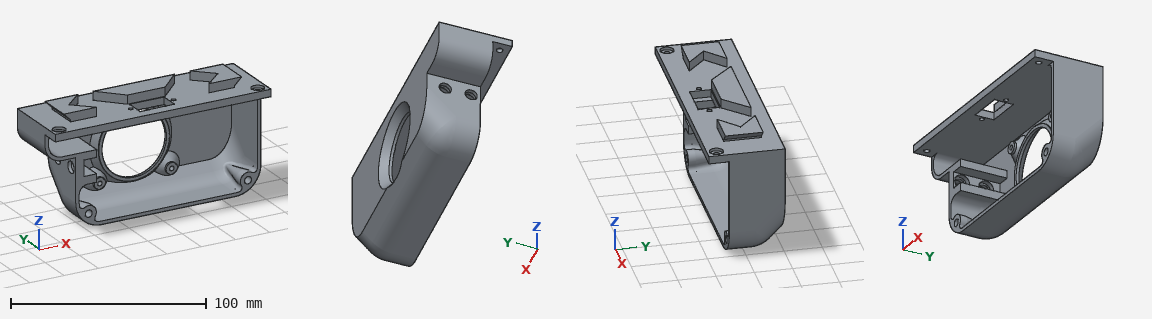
import cadquery as cq
import math


length = 126.0
depth = 29.2
wall = 2.0
top_z = 60.1
body_left = 17.9
corner_radius = 15.0
back_chamfer = 10.0
lobe_bottom = 40.0
lobe_radius = 10.0
ceiling_radius = 3.5

plate_thickness = 4.2
plate_overhang = 10.7
ceiling_z = top_z - plate_thickness
screw_inset = 5.0
screw_diameter = 3.2
screw_head_diameter = 7.0
screw_head_depth = 1.5

mount_x = length / 2
window_width = 20.2
window_front = -4.5
window_back = 6.5
pin_hole_diameter = 2.5
pin_hole_spacing = 25.1
pin_hole_y = 0.9

block_height = 5.0
block_back = 20.2
arrow_width = 19.8
arrow_half_span = 51.9
arrow_length = 19.2
arrow_undercut = 4.0
arrow_notch = 10.7
trapezoid_back_width = 47.5
trapezoid_front_width = 22.0
trapezoid_depth = 13.0

lens_x = 65.0
lens_z = 30.2
lens_diameter = 37.5
lens_ring_diameter = 41.5
lens_ring_base_diameter = 47.9
lens_rim_length = 0.6
lens_land = 1.6
boss_spacing_x = 42.0
boss_spacing_z = 35.0
boss_base_diameter = 15.0
boss_tip_diameter = 6.5
boss_tip_length = 1.3
boss_hole_diameter = 2.5

post_inset = 7.5
post_diameter = 9.0
post_straight = 4.0
post_taper = 11.0
post_fillet = 2.0
post_hole_diameter = 4.0
post_hole_depth = 12.6
post_xs = (body_left + post_inset, length - post_inset)

clip_right = 30.1
clip_bottom = 24.0
clip_fillet = 5.0
clip_slot_left = 22.8
clip_slot_bottom = 28.6
clip_slot_top = 37.7
side_hole_diameter = 6.5
side_recess_diameter = 8.6
side_hole_z = 32.9
side_hole_y = (5.0, 19.2)


def box(x0, x1, y0, y1, z0, z1):
    return cq.Workplane("XY").box(x1 - x0, y1 - y0, z1 - z0, centered=False).translate((x0, y0, z0))


def cone_from_back(x, z, base_y, base_radius, tip_radius):
    """45 degree cone with its base at base_y, narrowing towards the front."""
    height = base_radius - tip_radius
    profile = [(0, 0), (base_radius, 0), (tip_radius, height), (0, height)]
    cone = cq.Workplane("XY").polyline(profile).close().revolve(360, (0, 0), (0, 1))
    return cone.rotate((0, 0, 0), (0, 0, 1), 180).translate((x, base_y, z))


def rod(x, z, diameter, y0, y1):
    """Cylinder along Y between y0 and y1."""
    rod_plane = cq.Workplane("XZ", origin=(x, y0, z))
    return rod_plane.circle(diameter / 2).extrude(y0 - y1)


def tub(inset, top):
    """Main box with sloped lower back and rounded lower edges, offset inward by inset."""
    chamfer = back_chamfer - inset * (2 - math.sqrt(2))
    solid = box(body_left + inset, length - inset, 0, depth - inset, inset, top)
    solid = solid.edges(">Y and <Z").chamfer(chamfer)
    slope_center = (solid.val().Center().x, depth - inset - chamfer / 2, inset + chamfer / 2)
    slope = solid.faces(cq.selectors.NearestToPointSelector(slope_center))
    slope_sides = slope.edges("not |X").vals()
    slope_front = slope.edges("<Z").vals()
    floor_sides = solid.faces("<Z").edges("|Y").vals()
    return solid.newObject(slope_sides + slope_front + floor_sides).fillet(corner_radius - inset)


def lobe(inset, top):
    """Side lobe at the upper left, reaching over the clip, offset inward by inset."""
    solid = box(inset, clip_right, 0, depth - inset, lobe_bottom + inset, top)
    return solid.edges("|Y and <X and <Z").fillet(lobe_radius - inset)


def screw_post(x):
    """Corner post: straight at the front, tapering towards the sloped rear of the housing."""
    radius = post_diameter / 2
    apex_y = post_straight + radius / math.tan(math.radians(post_taper))
    profile = [(0, 0), (radius, 0), (radius, post_straight), (0, apex_y)]
    post = cq.Workplane("XY").polyline(profile).close().revolve(360, (0, 0), (0, 1))
    return post.translate((x, 0, post_inset))


def post_seams(room, x):
    """Straight and curved edges where a screw post runs into the rounded corner of the room."""
    reach = post_diameter / 2
    around_post = cq.selectors.BoxSelector(
        (x - reach, 0, post_inset - reach), (x + reach, depth, post_inset + reach))
    straight = room.edges("|Y").edges(around_post)
    curved = room.edges("%BSPLINE").edges(around_post)
    return straight.vals() + curved.vals()


def lower_room():
    """Hollow below the clip, with the screw posts left standing in its corners."""
    room = tub(wall, ceiling_z).intersect(box(0, length, 0, depth, 0, clip_bottom))
    for x in post_xs:
        room = room.cut(screw_post(x))
    for x in post_xs:
        room = room.newObject(post_seams(room, x)).fillet(post_fillet)
    under_clip = cq.selectors.BoxSelector(
        (body_left, 0, clip_bottom - wall), (clip_slot_left, depth, clip_bottom + wall))
    return room.faces(">Z").edges(under_clip).fillet(clip_fillet)


def upper_room():
    """Hollow above the clip underside, reaching into the side lobe over the clip."""
    room = tub(wall, ceiling_z).edges("|Y and >X and >Z").fillet(ceiling_radius)
    room = room.intersect(box(clip_right, length, 0, depth, 0, top_z))
    side = lobe(wall, ceiling_z).edges("|Y and <X and >Z").fillet(ceiling_radius)
    slot = box(clip_slot_left, clip_right, 0, depth - wall, clip_slot_bottom, clip_slot_top)
    return room.cut(box(0, length, 0, depth, 0, clip_bottom)).union(side).union(slot)


def housing():
    """Hollow shell with the post holes and the recessed holes in the left wall."""
    shell = tub(0, top_z).union(lobe(0, top_z))
    shell = shell.cut(lower_room()).cut(upper_room())
    for x in post_xs:
        shell = shell.cut(rod(x, post_inset, post_hole_diameter, 0, post_hole_depth))
    for y in side_hole_y:
        hole_plane = cq.Workplane("YZ", origin=(body_left, y, side_hole_z))
        shell = shell.cut(hole_plane.circle(side_hole_diameter / 2).extrude(wall))
        recess_plane = hole_plane.workplane(offset=wall)
        recess_depth = clip_slot_left - body_left - wall
        shell = shell.cut(recess_plane.circle(side_recess_diameter / 2).extrude(recess_depth))
    return shell


def lens_mount(shell):
    """Camera opening with a conical rim, flared to the back, and four conical screw bosses."""
    boss_points = [
        (lens_x + side * boss_spacing_x / 2, lens_z + level * boss_spacing_z / 2)
        for side in (-1, 1) for level in (-1, 1)]
    tip_radius = boss_tip_diameter / 2
    base_radius = boss_base_diameter / 2
    inner_back = depth - wall
    mount = cone_from_back(
        lens_x, lens_z, inner_back, lens_ring_base_diameter / 2, lens_ring_diameter / 2)
    rim_height = (lens_ring_base_diameter - lens_ring_diameter) / 2 + lens_rim_length
    rim_y = inner_back - rim_height
    tip_y = inner_back - (base_radius - tip_radius) - boss_tip_length
    mount = mount.union(rod(lens_x, lens_z, lens_ring_diameter, rim_y, inner_back))
    for x, z in boss_points:
        mount = mount.union(cone_from_back(x, z, inner_back, base_radius, tip_radius))
        mount = mount.union(rod(x, z, boss_tip_diameter, tip_y, inner_back))
    shell = shell.union(mount.intersect(tub(0, top_z)))
    flare_depth = rim_height + wall - lens_land
    lens_radius = lens_diameter / 2
    shell = shell.cut(rod(lens_x, lens_z, lens_diameter, 0, depth))
    shell = shell.cut(cone_from_back(lens_x, lens_z, depth, lens_radius + flare_depth, lens_radius))
    for x, z in boss_points:
        shell = shell.cut(rod(x, z, boss_hole_diameter, tip_y, inner_back))
    return shell


def top_plate():
    return box(0, length, -plate_overhang, depth, ceiling_z, top_z)


def plate_openings(part):
    """Window, pin holes and counterbored screw holes through the top plate."""
    part = part.cut(box(
        mount_x - window_width / 2, mount_x + window_width / 2,
        window_front, window_back, ceiling_z, top_z))
    pin_points = [(mount_x + side * pin_hole_spacing / 2, pin_hole_y) for side in (-1, 1)]
    screw_points = [(x, screw_inset - plate_overhang) for x in (screw_inset, length - screw_inset)]
    top = cq.Workplane("XY", origin=(0, 0, top_z))
    part = part.cut(top.pushPoints(pin_points).circle(pin_hole_diameter / 2).extrude(-plate_thickness))
    part = part.cut(top.pushPoints(screw_points).circle(screw_diameter / 2).extrude(-plate_thickness))
    return part.cut(
        top.pushPoints(screw_points).circle(screw_head_diameter / 2).extrude(-screw_head_depth))


def arrow_block():
    """Left block: undercut outer end and a V notch facing the middle."""
    left = mount_x - arrow_half_span
    right = left + arrow_length
    block_top = top_z + block_height
    foot_left = left + arrow_undercut
    block = cq.Workplane("XZ", origin=(0, block_back, 0)).polyline([
        (left, block_top),
        (right, block_top),
        (right, top_z),
        (foot_left, top_z),
        (foot_left, block_top - arrow_undercut),
    ]).close().extrude(arrow_width)
    notch = cq.Workplane("XY", origin=(0, 0, top_z)).polyline([
        (right, block_back),
        (right - arrow_notch, block_back - arrow_width / 2),
        (right, block_back - arrow_width),
    ]).close().extrude(block_height)
    return block.cut(notch)


def trapezoid_block():
    front = block_back - trapezoid_depth
    return cq.Workplane("XY", origin=(0, 0, top_z)).polyline([
        (mount_x - trapezoid_back_width / 2, block_back),
        (mount_x + trapezoid_back_width / 2, block_back),
        (mount_x + trapezoid_front_width / 2, front),
        (mount_x - trapezoid_front_width / 2, front),
    ]).close().extrude(block_height)


left_arrow = arrow_block()
right_arrow = left_arrow.mirror("YZ", (mount_x, 0, 0))

result = lens_mount(housing()).union(top_plate())
result = plate_openings(result)
result = result.union(left_arrow).union(right_arrow).union(trapezoid_block())